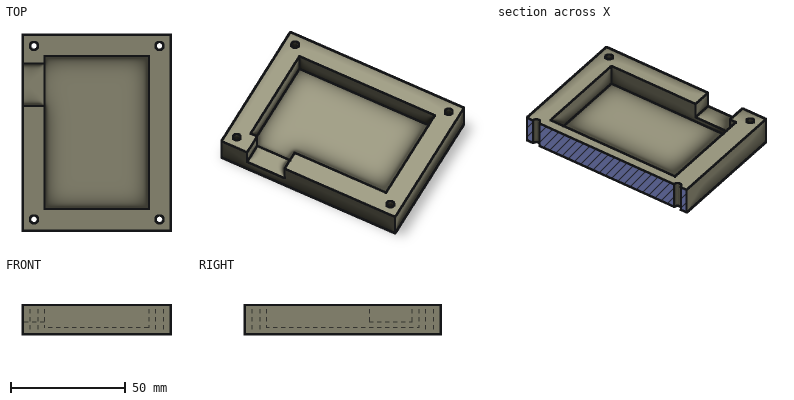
import cadquery as cq

LENGTH_X = 65.0
LENGTH_Y = 86.0
HEIGHT = 13.0

WALL = 9.5
POCKET_DEPTH = 10.0
POCKET_X = LENGTH_X - 2 * WALL
POCKET_Y = LENGTH_Y - 2 * WALL

NOTCH_WIDTH = 18.5
NOTCH_DEPTH = 7.5
NOTCH_CENTER_Y = 21.0

HOLE_DIAMETER = 3.4
HOLE_EDGE_DISTANCE = 5.0


def make_block():
    """Plain block, centred in X and Y, resting on Z = 0."""
    return cq.Workplane("XY").box(LENGTH_X, LENGTH_Y, HEIGHT, centered=(True, True, False))


def cut_pocket(body):
    """Sink the large rectangular pocket from the top face."""
    pocket = (
        cq.Workplane("XY")
        .workplane(offset=HEIGHT - POCKET_DEPTH)
        .rect(POCKET_X, POCKET_Y)
        .extrude(POCKET_DEPTH)
    )
    return body.cut(pocket)


def cut_notch(body):
    """Open the -X wall from the outside through to the pocket."""
    notch = (
        cq.Workplane("XY")
        .workplane(offset=HEIGHT - NOTCH_DEPTH)
        .center(-(LENGTH_X - WALL) / 2, NOTCH_CENTER_Y)
        .rect(WALL, NOTCH_WIDTH)
        .extrude(NOTCH_DEPTH)
    )
    return body.cut(notch)


def cut_corner_holes(body):
    """Drill one through hole in each corner."""
    spacing_x = LENGTH_X - 2 * HOLE_EDGE_DISTANCE
    spacing_y = LENGTH_Y - 2 * HOLE_EDGE_DISTANCE
    holes = (
        cq.Workplane("XY")
        .rect(spacing_x, spacing_y, forConstruction=True)
        .vertices()
        .circle(HOLE_DIAMETER / 2)
        .extrude(HEIGHT)
    )
    return body.cut(holes)


result = make_block()
result = cut_pocket(result)
result = cut_notch(result)
result = cut_corner_holes(result)